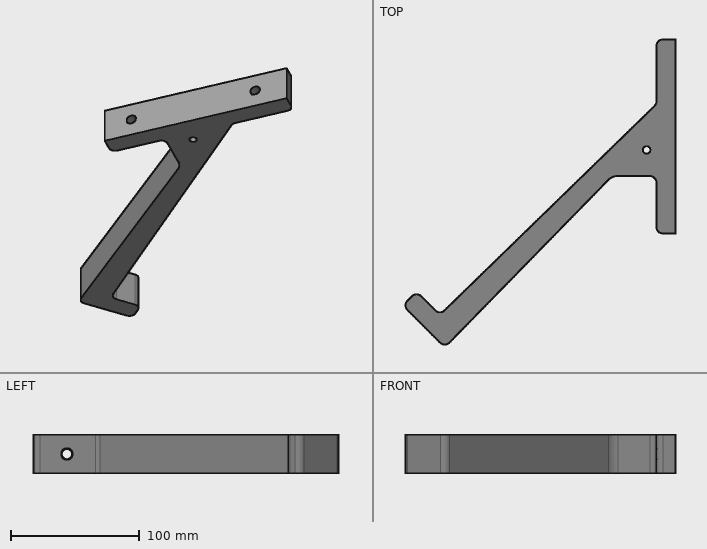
import cadquery as cq
import math

height = 30.0
plate_length = 150.7
plate_thickness = 15.0

heel_x = -179.2
heel_y = -163.8
foot_angle = math.radians(135)
foot_length = 46.2
foot_thickness = 15.2
arm_width_at_foot = 20.6

arm_top_y = 25.1
web_bottom_y = -30.8
web_corner_x = -49.3

corner_radius = 5.0
web_radius = 10.0

web_hole_diameter = 5.7
web_hole_x = -22.5
web_hole_y = -10.5
screw_hole_diameter = 7.8
screw_hole_mouth_diameter = 9.0
upper_screw_y = 49.3
lower_screw_y = -53.3

plate_front_x = -plate_thickness
plate_end_y = plate_length / 2


def foot_point(along, across):
    """Point at a distance along the foot from the heel and across it toward the arm."""
    cosine = math.cos(foot_angle)
    sine = math.sin(foot_angle)
    return (
        heel_x + along * cosine + across * sine,
        heel_y + along * sine + across * -cosine,
    )


heel = foot_point(0, 0)
tip_outer = foot_point(foot_length, 0)
tip_inner = foot_point(foot_length, foot_thickness)
foot_inside = foot_point(arm_width_at_foot, foot_thickness)
arm_top = (plate_front_x, arm_top_y)
plate_top = (plate_front_x, plate_end_y)
plate_bottom = (plate_front_x, -plate_end_y)
web_inside = (plate_front_x, web_bottom_y)
web_corner = (web_corner_x, web_bottom_y)

outline = [
    heel, tip_outer, tip_inner, foot_inside, arm_top, plate_top,
    (0, plate_end_y), (0, -plate_end_y),
    plate_bottom, web_inside, web_corner,
]
body = cq.Workplane("XY").polyline(outline).close().extrude(height)


def round_edge(solid, corner, radius):
    """Fillet the upright edge standing on one outline corner."""
    middle = (corner[0], corner[1], height / 2)
    return solid.edges(cq.selectors.NearestToPointSelector(middle)).fillet(radius)


for corner in (heel, tip_outer, tip_inner, foot_inside, arm_top, plate_top, plate_bottom, web_inside):
    body = round_edge(body, corner, corner_radius)
body = round_edge(body, web_corner, web_radius)

web_hole = (
    cq.Workplane("XY")
    .center(web_hole_x, web_hole_y)
    .circle(web_hole_diameter / 2)
    .extrude(height)
)

mouth_chamfer = (screw_hole_mouth_diameter - screw_hole_diameter) / 2
screw_points = [(upper_screw_y, height / 2), (lower_screw_y, height / 2)]
screw_holes = (
    cq.Workplane("YZ")
    .pushPoints(screw_points)
    .circle(screw_hole_diameter / 2)
    .extrude(-plate_thickness)
)

result = body.cut(web_hole).cut(screw_holes)
for y, z in screw_points:
    rim_point = (plate_front_x, y, z)
    result = result.edges(cq.selectors.NearestToPointSelector(rim_point)).chamfer(mouth_chamfer)